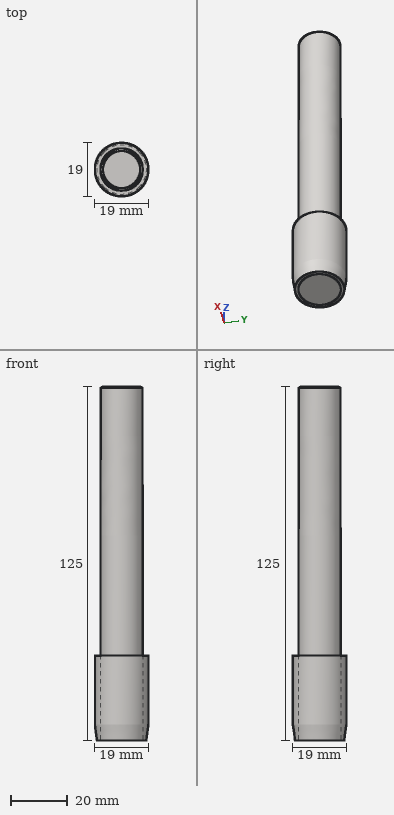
import cadquery as cq

total_height = 125.0

sleeve_diameter = 19.0
sleeve_height = 30.0
foot_height = 5.5
foot_inset = 0.8

lower_diameter = 15.0
upper_diameter = 14.9
pillar_taper_base = 72.2
pillar_taper_top = 107.5
tip_chamfer_height = 0.5
tip_chamfer_inset = 0.9

sleeve_radius = sleeve_diameter / 2
lower_radius = lower_diameter / 2
upper_radius = upper_diameter / 2


def make_sleeve():
    """Bush standing on Z = 0, bored through to take the pillar."""
    return (
        cq.Workplane("XZ")
        .moveTo(lower_radius, 0)
        .lineTo(sleeve_radius - foot_inset, 0)
        .lineTo(sleeve_radius, foot_height)
        .lineTo(sleeve_radius, sleeve_height)
        .lineTo(lower_radius, sleeve_height)
        .close()
        .revolve(360, (0, 0), (0, 1))
    )


def make_pillar():
    """Round pillar filling the bore and rising to a chamfered tip."""
    return (
        cq.Workplane("XZ")
        .lineTo(lower_radius, 0)
        .lineTo(lower_radius, pillar_taper_base)
        .lineTo(upper_radius, pillar_taper_top)
        .lineTo(upper_radius, total_height - tip_chamfer_height)
        .lineTo(upper_radius - tip_chamfer_inset, total_height)
        .lineTo(0, total_height)
        .close()
        .revolve(360, (0, 0), (0, 1))
    )


sleeve = make_sleeve()
pillar = make_pillar()

result = cq.Compound.makeCompound([sleeve.val(), pillar.val()])